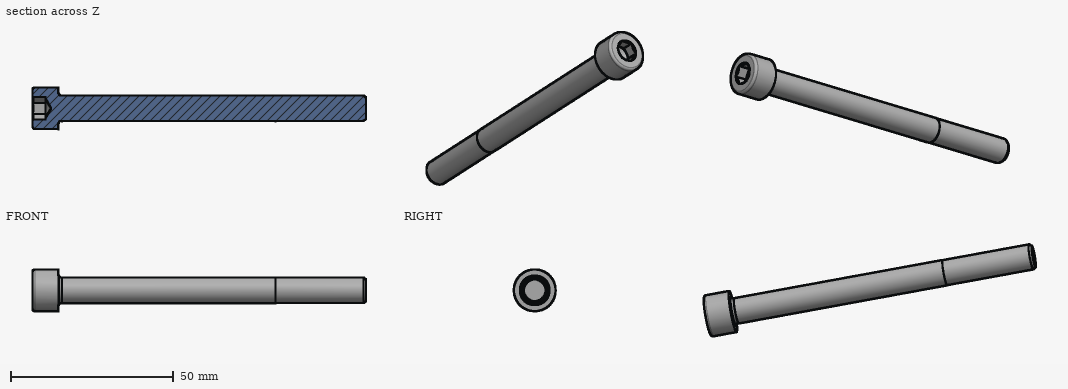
import cadquery as cq
import math

total_length = 103.0
head_diameter = 13.0
head_height = 8.0
head_edge_radius = 0.8
shank_diameter = 8.0
thread_diameter = 7.9
thread_length = 28.0
tip_chamfer_length = 0.8
tip_chamfer_depth = 0.6
neck_diameter = 7.9
neck_length = 1.1
neck_fillet_radius = 0.6
collar_length = 0.2
socket_across_flats = 6.0
socket_depth = 4.0
socket_mouth_diameter = 6.8
socket_mouth_angle = 90.0
drill_point_angle = 120.0

head_radius = head_diameter / 2
shank_radius = shank_diameter / 2
thread_radius = thread_diameter / 2
thread_start = total_length - thread_length
neck_radius = neck_diameter / 2
collar_end = head_height + collar_length
neck_end = head_height + neck_length


def screw_body():
    """Revolve the half profile of the head, collar, neck, shank and thread."""
    arc_cos = math.cos(math.pi / 4)
    neck_middle = (
        collar_end + neck_fillet_radius * (1 - arc_cos),
        neck_radius + neck_fillet_radius * (1 - arc_cos),
    )
    edge_middle = (
        head_edge_radius * (1 - arc_cos),
        head_radius - head_edge_radius * (1 - arc_cos),
    )
    profile = (
        cq.Workplane("XY")
        .lineTo(0, head_radius - head_edge_radius)
        .threePointArc(edge_middle, (head_edge_radius, head_radius))
        .lineTo(head_height, head_radius)
        .lineTo(head_height, neck_radius + neck_fillet_radius)
        .lineTo(collar_end, neck_radius + neck_fillet_radius)
        .threePointArc(neck_middle, (collar_end + neck_fillet_radius, neck_radius))
        .lineTo(neck_end, neck_radius)
        .lineTo(neck_end, shank_radius)
        .lineTo(thread_start, shank_radius)
        .lineTo(thread_start, thread_radius)
        .lineTo(total_length - tip_chamfer_length, thread_radius)
        .lineTo(total_length, thread_radius - tip_chamfer_depth)
        .lineTo(total_length, 0)
        .close()
    )
    return profile.revolve(360, (0, 0, 0), (1, 0, 0))


def hex_socket():
    """Hexagonal socket with two corners on the Y axis, a countersunk mouth and a conical floor."""
    across_corners = socket_across_flats / math.cos(math.pi / 6)
    hexagon = cq.Workplane("YZ").polygon(6, across_corners).extrude(socket_depth)
    cone_radius = socket_across_flats / 2
    cone_height = cone_radius / math.tan(math.radians(drill_point_angle / 2))
    cone = cq.Solid.makeCone(
        cone_radius, 0, cone_height, cq.Vector(socket_depth, 0, 0), cq.Vector(1, 0, 0)
    )
    mouth_radius = socket_mouth_diameter / 2
    mouth_height = mouth_radius / math.tan(math.radians(socket_mouth_angle / 2))
    mouth = cq.Solid.makeCone(mouth_radius, 0, mouth_height, cq.Vector(0, 0, 0), cq.Vector(1, 0, 0))
    return hexagon.union(cone).union(mouth)


result = screw_body().cut(hex_socket())